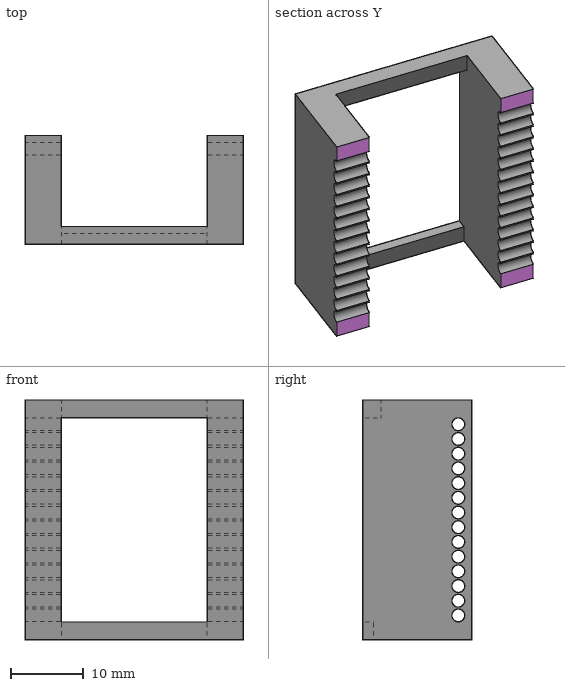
import cadquery as cq

WIDTH = 30.0
DEPTH = 15.0
HEIGHT = 33.0

ARM_THICKNESS = 5.0
PLATE_THICKNESS = 2.5
LOWER_RAIL_THICKNESS = 1.5
RAIL_HEIGHT = 2.5

HOLE_DIAMETER = 1.72
HOLE_COUNT = 14
HOLE_GAP = 0.3
HOLE_EDGE_WALL = 1.0
HOLE_PITCH = HOLE_DIAMETER + HOLE_GAP
HOLE_EDGE_DISTANCE = HOLE_EDGE_WALL + HOLE_DIAMETER / 2

INNER_WIDTH = WIDTH - 2 * ARM_THICKNESS
WINDOW_HEIGHT = HEIGHT - 2 * RAIL_HEIGHT


def make_channel():
    """U-shaped channel, open toward +Y, centred on the origin."""
    block = cq.Workplane("XY").box(WIDTH, DEPTH, HEIGHT)
    cavity = (
        cq.Workplane("XY")
        .box(INNER_WIDTH, DEPTH, HEIGHT)
        .translate((0, PLATE_THICKNESS, 0))
    )
    return block.cut(cavity)


def make_window():
    """Rectangular opening through the front plate, as wide as the cavity."""
    return cq.Workplane("XY").box(INNER_WIDTH, 2 * DEPTH, WINDOW_HEIGHT)


def make_lower_rail_relief():
    """Cut behind the lower rail that makes it thinner than the upper one."""
    return (
        cq.Workplane("XY")
        .box(INNER_WIDTH, DEPTH, RAIL_HEIGHT)
        .translate((0, LOWER_RAIL_THICKNESS, (RAIL_HEIGHT - HEIGHT) / 2))
    )


def make_arm_holes():
    """Vertical row of holes along X near the free edge of the arms."""
    return (
        cq.Workplane("YZ", origin=(-WIDTH / 2, DEPTH / 2 - HOLE_EDGE_DISTANCE, 0))
        .rarray(1, HOLE_PITCH, 1, HOLE_COUNT)
        .circle(HOLE_DIAMETER / 2)
        .extrude(WIDTH)
    )


result = (
    make_channel()
    .cut(make_window())
    .cut(make_lower_rail_relief())
    .cut(make_arm_holes())
)